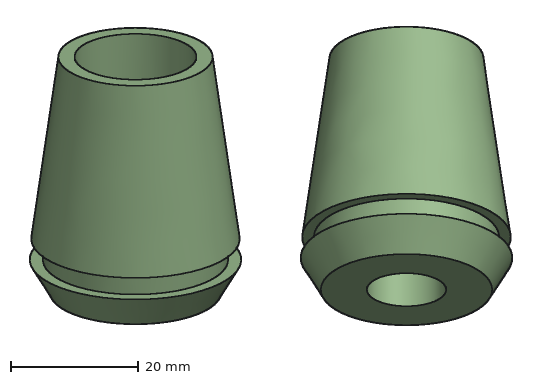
import cadquery as cq
import math

total_height = 40.0
flange_height = 5.5
groove_height = 3.55

flange_diameter = 33.35
groove_diameter = 29.2
taper_base_diameter = 32.9
top_diameter = 24.3
flange_angle = 30.0

counterbore_diameter = 19.2
counterbore_depth = 11.0
hole_diameter = 12.5

flange_base_radius = flange_diameter / 2 - flange_height * math.tan(math.radians(flange_angle))
taper_base_z = flange_height + groove_height


def collet_body():
    """Revolve the outer outline: flared flange, groove and long taper."""
    outline = [
        (0, 0),
        (flange_base_radius, 0),
        (flange_diameter / 2, flange_height),
        (groove_diameter / 2, flange_height),
        (groove_diameter / 2, taper_base_z),
        (taper_base_diameter / 2, taper_base_z),
        (top_diameter / 2, total_height),
        (0, total_height),
    ]
    return cq.Workplane("XZ").polyline(outline).close().revolve(360, (0, 0, 0), (0, 1, 0))


def stepped_bore(body):
    """Cut the through hole and the wider counterbore from the top face."""
    return body.faces(">Z").workplane().cboreHole(
        hole_diameter, counterbore_diameter, counterbore_depth
    )


result = stepped_bore(collet_body())